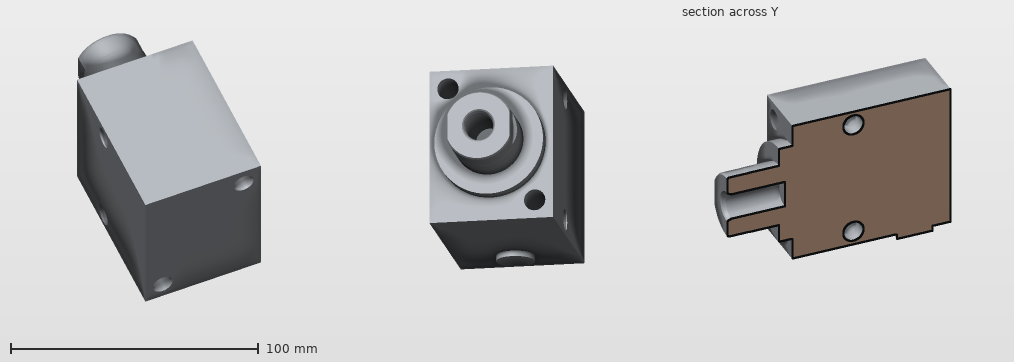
import cadquery as cq

BODY_LENGTH = 69.85
BODY_WIDTH = 50.8
BODY_HEIGHT = 63.5

FLANGE_DIAMETER = 44.6
FLANGE_THICKNESS = 5.84
ROD_DIAMETER = 28.575
ROD_REACH = 28.7
TIP_DIAMETER = 28.4
TIP_LENGTH = 9.2
TIP_TAPER_LENGTH = 0.6
TIP_CHAMFER_LENGTH = 0.9
TIP_CHAMFER_DEPTH = 0.5

FLATS_WIDTH = 25.4
FLATS_LENGTH = 7.4
CUTTER_MARGIN = 1.0

BORE_DIAMETER = 11.4
BORE_DEPTH = 25.4
ENTRY_CHAMFER = 0.5
BORE_TAPER_LENGTH = 1.4
BORE_TAPER_DEPTH = 0.6

HOLE_DIAMETER = 8.73
CROSS_HOLE_X = 26.97
CROSS_HOLE_SPACING = 50.8
LENGTHWISE_HOLE_Y = 17.8
LENGTHWISE_HOLE_Z = 24.2

BOSS_DIAMETER = 15.75
BOSS_HEIGHT = 2.29
BOSS_X = 54.0


def make_body():
    block = cq.Workplane("XY").box(BODY_LENGTH, BODY_WIDTH, BODY_HEIGHT)
    return block.translate((BODY_LENGTH / 2, 0, 0))


def make_boss():
    return (
        cq.Workplane("XY", origin=(BOSS_X, 0, -BODY_HEIGHT / 2))
        .circle(BOSS_DIAMETER / 2)
        .extrude(-BOSS_HEIGHT)
    )


def make_rod_and_flange():
    """Revolved half profile of flange, rod, tapered step and chamfered tip."""
    rod_end = -ROD_REACH
    step_start = rod_end + TIP_LENGTH
    rod_radius = ROD_DIAMETER / 2
    tip_radius = TIP_DIAMETER / 2
    flange_radius = FLANGE_DIAMETER / 2
    profile = [
        (0, 0),
        (rod_end, 0),
        (rod_end, tip_radius - TIP_CHAMFER_DEPTH),
        (rod_end + TIP_CHAMFER_LENGTH, tip_radius),
        (step_start, tip_radius),
        (step_start + TIP_TAPER_LENGTH, rod_radius),
        (-FLANGE_THICKNESS, rod_radius),
        (-FLANGE_THICKNESS, flange_radius),
        (0, flange_radius),
    ]
    return cq.Workplane("XY").polyline(profile).close().revolve(360, (0, 0, 0), (1, 0, 0))


def make_flat_cutter(side):
    """Prism that cuts one wrench flat; side is +1 or -1 along Y."""
    rod_end = -ROD_REACH
    flat_end = rod_end + FLATS_LENGTH
    flat_y = FLATS_WIDTH / 2
    outer_y = ROD_DIAMETER / 2 + CUTTER_MARGIN
    run_out = outer_y - flat_y
    profile = [
        (rod_end, side * flat_y),
        (flat_end, side * flat_y),
        (flat_end + run_out, side * outer_y),
        (rod_end, side * outer_y),
    ]
    return cq.Workplane("XY").polyline(profile).close().extrude(ROD_DIAMETER / 2, both=True)


def make_bore():
    """Flat-bottomed bore with a tapered lead-in and a 45 degree entry chamfer."""
    rod_end = -ROD_REACH
    bore_radius = BORE_DIAMETER / 2
    taper_radius = bore_radius + BORE_TAPER_DEPTH
    profile = [
        (rod_end, 0),
        (rod_end, taper_radius + ENTRY_CHAMFER),
        (rod_end + ENTRY_CHAMFER, taper_radius),
        (rod_end + ENTRY_CHAMFER + BORE_TAPER_LENGTH, bore_radius),
        (rod_end + BORE_DEPTH, bore_radius),
        (rod_end + BORE_DEPTH, 0),
    ]
    return cq.Workplane("XY").polyline(profile).close().revolve(360, (0, 0, 0), (1, 0, 0))


def make_cross_holes():
    """Two through holes along Y, above and below the rod axis."""
    half_spacing = CROSS_HOLE_SPACING / 2
    return (
        cq.Workplane("XZ", origin=(CROSS_HOLE_X, 0, 0))
        .pushPoints([(0, half_spacing), (0, -half_spacing)])
        .circle(HOLE_DIAMETER / 2)
        .extrude(BODY_WIDTH / 2, both=True)
    )


def make_lengthwise_holes():
    """Two through holes along X in diagonally opposite corners."""
    return (
        cq.Workplane("YZ")
        .pushPoints([(LENGTHWISE_HOLE_Y, LENGTHWISE_HOLE_Z), (-LENGTHWISE_HOLE_Y, -LENGTHWISE_HOLE_Z)])
        .circle(HOLE_DIAMETER / 2)
        .extrude(BODY_LENGTH)
    )


result = make_body().union(make_boss()).union(make_rod_and_flange())
for flat_side in (1, -1):
    result = result.cut(make_flat_cutter(flat_side))
result = result.cut(make_bore()).cut(make_cross_holes()).cut(make_lengthwise_holes())